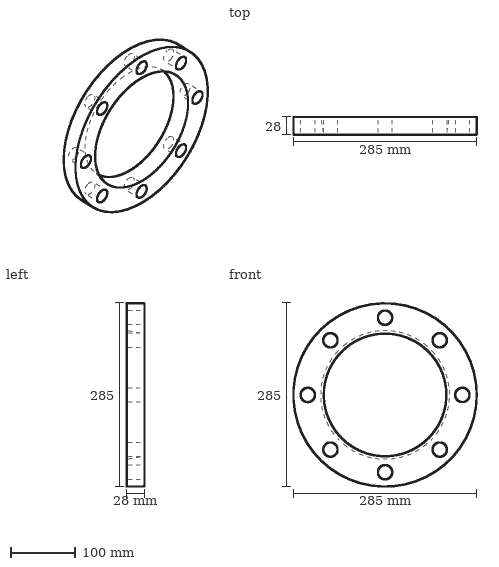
import cadquery as cq

outer_diameter = 285.0
thickness = 28.0
rim_fillet_radius = 2.0

bore_front_diameter = 190.0
bore_back_diameter = 200.0

bolt_hole_count = 8
bolt_hole_diameter = 22.0
bolt_circle_diameter = 240.0

front_y = -thickness / 2
back_y = thickness / 2


def make_disc():
    """Solid disc with its front rim rounded; the back rim stays sharp."""
    disc = (
        cq.Workplane("XZ", origin=(0, back_y, 0))
        .circle(outer_diameter / 2)
        .extrude(thickness)
    )
    return disc.faces("<Y").edges().fillet(rim_fillet_radius)


def make_bore():
    """Cone frustum that removes the middle of the disc."""
    return cq.Workplane(
        cq.Solid.makeCone(
            bore_front_diameter / 2,
            bore_back_diameter / 2,
            thickness,
            pnt=cq.Vector(0, front_y, 0),
            dir=cq.Vector(0, 1, 0),
        )
    )


def make_bolt_holes():
    """Evenly spaced through holes, the first one on the +X axis."""
    return (
        cq.Workplane("XZ", origin=(0, back_y, 0))
        .polarArray(bolt_circle_diameter / 2, 0, 360, bolt_hole_count)
        .circle(bolt_hole_diameter / 2)
        .extrude(thickness)
    )


result = make_disc().cut(make_bore()).cut(make_bolt_holes())